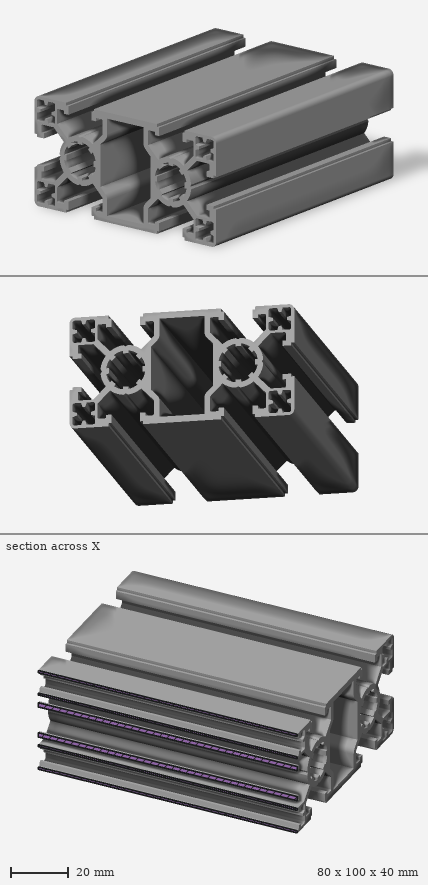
import cadquery as cq
import math

length = 100.0
cell = 40.0
width = 2 * cell
height = cell
core_x = cell / 2
corner_radius = 2.0

recess_half = 6.1
recess_depth = 1.1
mouth_half = 5.1
hook_half = 7.0
hook_depth = 4.2
pocket_half = 10.0
pocket_roof = 3.0
pocket_radius = 0.5
rib_thickness = 2.2

core_outer_radius = 9.0
core_bore_radius = 7.0
core_tooth_tip = 6.0
core_tooth_width = 2.0
core_tooth_count = 8

groove_half_width = 0.9
groove_depth = 0.5

chamber_outer_wall = 1.1
chamber_inner_wall = 0.9
chamber_radius = 0.7
chamber_tooth_height = 1.5
chamber_tooth_base = 2.0
chamber_tooth_tip = 1.0

middle_cover = 2.3
middle_wall = 2.0
middle_shoulder_depth = 12.3
middle_bend_radius = 3.0

floor_apex = cell / 2 - rib_thickness / math.sqrt(2)
pocket_depth = floor_apex - pocket_half


def sketch():
    """Workplane on the front end face, with X to the right and Z up."""
    return cq.Workplane("XZ", origin=(0, -length / 2, 0))


def extrude(outline):
    """Extrude a closed outline over the whole length."""
    return outline.extrude(-length)


def turn(solid, angle):
    """Rotate a solid about the lengthwise axis."""
    return solid.rotate((0, 0, 0), (0, 1, 0), angle)


def slot():
    """Void of one upward-facing slot of a cell centred on the origin."""
    half = [
        (recess_half, 0),
        (recess_half, recess_depth),
        (mouth_half, recess_depth),
        (mouth_half, hook_depth),
        (hook_half, hook_depth),
        (hook_half, pocket_roof),
        (pocket_half, pocket_roof),
        (pocket_half, pocket_depth),
    ]
    right = [(x, cell / 2 - depth) for x, depth in half]
    left = [(-x, z) for x, z in reversed(right)]
    apex = (0, cell / 2 - floor_apex)
    void = extrude(sketch().polyline(right + [apex] + left).close())
    roof_z = cell / 2 - pocket_roof
    for side in (-1, 1):
        corner = cq.selectors.NearestToPointSelector((side * pocket_half, 0, roof_z))
        void = void.edges("|Y").edges(corner).fillet(pocket_radius)
    return void


def floor_groove():
    """Upward-facing V-groove on top of a core centred on the origin."""
    surface = core_outer_radius
    half = groove_half_width
    return extrude(
        sketch().polyline([(-half, surface), (half, surface), (0, surface - groove_depth)]).close()
    )


def core_teeth():
    """Ring of teeth, centred on the origin, rooted inside the core wall."""
    root = (core_bore_radius + core_outer_radius) / 2
    middle = (core_tooth_tip + root) / 2
    tooth = extrude(sketch().center(middle, 0).rect(root - core_tooth_tip, core_tooth_width))
    teeth = tooth
    for index in range(1, core_tooth_count):
        teeth = teeth.union(turn(tooth, index * 360 / core_tooth_count))
    return teeth


def corner_chamber():
    """Toothed square void of one corner, centred on the origin."""
    size = cell / 2 - pocket_half - chamber_outer_wall - chamber_inner_wall
    void = extrude(sketch().rect(size, size)).edges("|Y").fillet(chamber_radius)
    wall = size / 2
    tip = wall - chamber_tooth_height
    tooth = extrude(
        sketch()
        .polyline([
            (wall, -chamber_tooth_base / 2),
            (wall, chamber_tooth_base / 2),
            (tip, chamber_tooth_tip / 2),
            (tip, -chamber_tooth_tip / 2),
        ])
        .close()
    )
    for index in range(4):
        void = void.cut(turn(tooth, index * 90))
    return void


def middle_chamber():
    """Void between the cores: wide at mid height, narrow beside the pockets."""
    narrow_half = core_x - pocket_half - middle_wall
    wide_half = core_x - core_outer_radius
    top = height / 2 - middle_cover
    shoulder_z = height / 2 - middle_shoulder_depth
    bend_z = shoulder_z + wide_half - narrow_half
    quarter = extrude(
        sketch()
        .moveTo(0, 0)
        .lineTo(0, top)
        .lineTo(narrow_half, top)
        .lineTo(narrow_half, bend_z)
        .lineTo(wide_half, shoulder_z)
        .lineTo(wide_half, 0)
        .close()
    )
    bend = cq.selectors.NearestToPointSelector((narrow_half, 0, bend_z))
    quarter = quarter.edges("|Y").edges(bend).fillet(middle_bend_radius)
    half = quarter.union(quarter.mirror("YZ"))
    return half.union(half.mirror("XY"))


def profile():
    """Complete profile: slots, cores and chambers cut from a rounded bar."""
    body = extrude(sketch().rect(width, height)).edges("|Y").fillet(corner_radius)
    slot_void = slot()
    groove = floor_groove()
    core = extrude(sketch().circle(core_outer_radius))
    bore = extrude(sketch().circle(core_bore_radius)).cut(core_teeth())
    for side in (-1, 1):
        x = side * core_x
        slot_angles = (0, 180, side * 90)
        for angle in slot_angles:
            body = body.cut(turn(slot_void, angle).translate((x, 0, 0)))
        body = body.union(core.translate((x, 0, 0)))
        for angle in slot_angles:
            body = body.cut(turn(groove, angle).translate((x, 0, 0)))
        body = body.cut(bore.translate((x, 0, 0)))

    chamber = corner_chamber()
    chamber_offset = (cell / 2 - pocket_half + chamber_outer_wall - chamber_inner_wall) / 2
    for side_x in (-1, 1):
        for side_z in (-1, 1):
            x = side_x * (width / 2 - chamber_offset)
            z = side_z * (height / 2 - chamber_offset)
            body = body.cut(chamber.translate((x, 0, z)))

    return body.cut(middle_chamber())


result = profile()